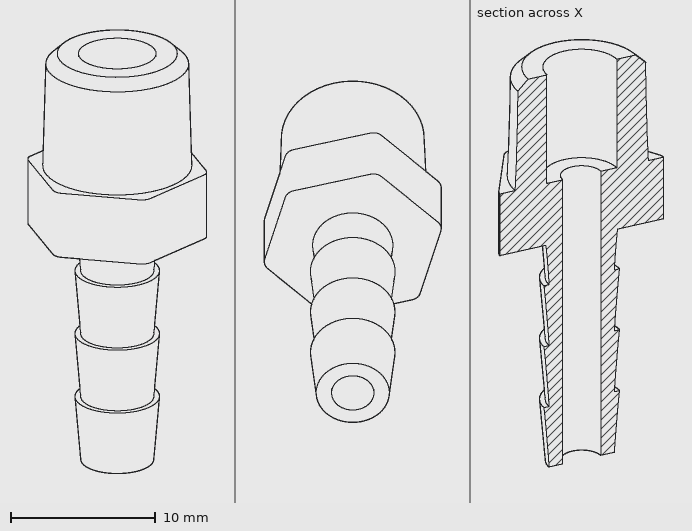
import cadquery as cq

total_height = 30.48
barb_count = 3
barb_pitch = 4.72
hex_bottom = 17.25
hex_top = 22.07
tip_chamfer_height = 0.75

barb_small_radius = 2.53
barb_large_radius = 2.93
neck_top_radius = 2.77
thread_base_radius = 5.15
thread_tip_radius = 4.95
tip_face_radius = 4.15

across_flats = 11.13
corner_radius = 0.82

hose_bore_radius = 1.45
thread_bore_radius = 2.68
thread_bore_depth = total_height - hex_top


def revolve_profile(points):
    """Turn a closed (radius, height) outline around the Z axis."""
    profile = cq.Workplane("XZ").polyline(points).close()
    return profile.revolve(360, (0, 0, 0), (0, 1, 0))


def make_hose_tail():
    """Stack of flared barbs and the neck that joins them to the hexagon."""
    outline = [(0, 0)]
    for index in range(barb_count):
        barb_bottom = index * barb_pitch
        outline.append((barb_small_radius, barb_bottom))
        outline.append((barb_large_radius, barb_bottom + barb_pitch))
    outline.append((barb_small_radius, barb_count * barb_pitch))
    outline.append((neck_top_radius, hex_bottom))
    outline.append((0, hex_bottom))
    return revolve_profile(outline)


def make_hexagon():
    """Wrench hexagon with flats facing +X and -X and rounded corners."""
    prism = (
        cq.Workplane("XY")
        .workplane(offset=hex_bottom)
        .polygon(6, across_flats, circumscribed=True)
        .extrude(hex_top - hex_bottom)
    )
    return prism.edges("|Z").fillet(corner_radius)


def make_threaded_end():
    """Slightly tapered cylinder with a chamfered tip."""
    return revolve_profile([
        (0, hex_top),
        (thread_base_radius, hex_top),
        (thread_tip_radius, total_height - tip_chamfer_height),
        (tip_face_radius, total_height),
        (0, total_height),
    ])


def make_bore():
    """Through hole with a wider counterbore from the threaded end."""
    through_hole = cq.Workplane("XY").circle(hose_bore_radius).extrude(total_height)
    counterbore = (
        cq.Workplane("XY")
        .workplane(offset=total_height - thread_bore_depth)
        .circle(thread_bore_radius)
        .extrude(thread_bore_depth)
    )
    return through_hole.union(counterbore)


body = make_hose_tail().union(make_hexagon()).union(make_threaded_end())
result = body.cut(make_bore())